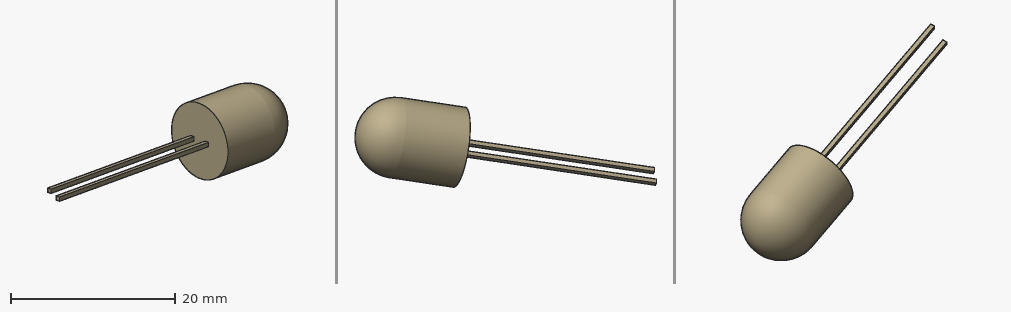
import cadquery as cq

total_length = 38.35
lens_diameter = 9.9
lens_radius = lens_diameter / 2
barrel_length = 8.1

lead_width = 0.58
lead_pitch = 2.55
lead_length_difference = 1.0
long_lead_length = total_length - barrel_length - lens_radius
short_lead_length = long_lead_length - lead_length_difference


def make_lens():
    """Round barrel with its base at Y = 0 and a hemispherical dome on top."""
    half_profile = (
        cq.Workplane("XY")
        .lineTo(lens_radius, 0)
        .lineTo(lens_radius, barrel_length)
        .radiusArc((0, barrel_length + lens_radius), -lens_radius)
        .close()
    )
    return half_profile.revolve(360, (0, 0, 0), (0, 1, 0))


def make_lead(x_center, length):
    """Square lead that starts on the lens base and runs towards -Y."""
    return (
        cq.Workplane("XY")
        .box(lead_width, length, lead_width)
        .translate((x_center, -length / 2, 0))
    )


lens = make_lens()

leads = []
for side, length in ((-1, short_lead_length), (1, long_lead_length)):
    leads.append(make_lead(side * lead_pitch / 2, length))

result = cq.Compound.makeCompound([lens.val(), *[lead.val() for lead in leads]])